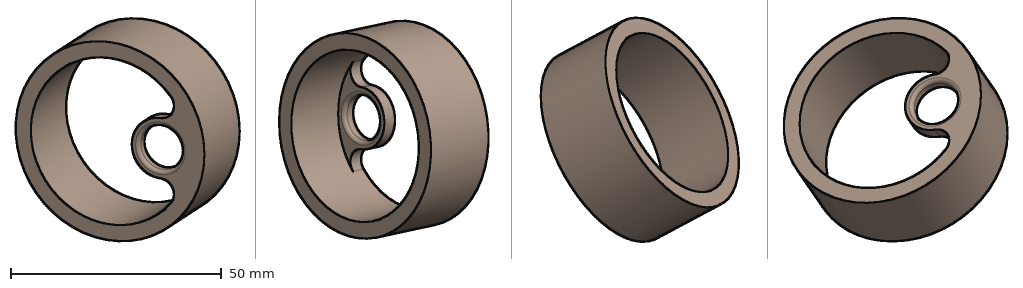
import cadquery as cq
import math

outer_diameter = 49.3
inner_diameter = 41.3
ring_length = 20.0

web_thickness = 3.75
eyelet_offset = 13.15
eyelet_radius = 7.5
bore_diameter = 11.0
bore_edge_radius = 1.0

inner_radius = inner_diameter / 2
wall_middle_radius = (outer_diameter / 2 + inner_radius) / 2

relief_radius = (inner_radius**2 - eyelet_offset**2 - eyelet_radius**2) / (
    2 * (inner_radius + eyelet_radius)
)
relief_height = eyelet_radius + relief_radius
relief_angle = math.atan2(relief_height, eyelet_offset)


def polar(radius, angle):
    """Point at a given radius and angle from the ring axis."""
    return radius * math.cos(angle), radius * math.sin(angle)


def front_plane():
    """Sketch plane on the front end, with its normal pointing toward -Y."""
    return cq.Workplane("XZ", origin=(0, -ring_length / 2, 0))


def make_ring():
    return (
        front_plane()
        .circle(outer_diameter / 2)
        .circle(inner_radius)
        .extrude(-ring_length)
    )


def make_web():
    middle_angle = (relief_angle - math.pi / 2) / 2
    middle_x, middle_z = polar(relief_radius, middle_angle)
    relief_x = eyelet_offset + middle_x
    relief_z = relief_height + middle_z

    return (
        front_plane()
        .moveTo(*polar(inner_radius, relief_angle))
        .threePointArc((relief_x, relief_z), (eyelet_offset, eyelet_radius))
        .threePointArc((eyelet_offset - eyelet_radius, 0), (eyelet_offset, -eyelet_radius))
        .threePointArc((relief_x, -relief_z), polar(inner_radius, -relief_angle))
        .lineTo(*polar(wall_middle_radius, -relief_angle))
        .threePointArc((wall_middle_radius, 0), polar(wall_middle_radius, relief_angle))
        .close()
        .extrude(-web_thickness)
    )


def make_bore_cutter():
    """Cutter for the bore, flared at both ends by quarter-round edges."""
    bore_radius = bore_diameter / 2
    mouth_radius = bore_radius + bore_edge_radius
    arc_offset = bore_edge_radius * math.sqrt(0.5)
    profile = (
        cq.Workplane("XY", origin=(eyelet_offset, -ring_length / 2, 0))
        .lineTo(mouth_radius, 0)
        .threePointArc(
            (mouth_radius - arc_offset, bore_edge_radius - arc_offset),
            (bore_radius, bore_edge_radius),
        )
        .lineTo(bore_radius, web_thickness - bore_edge_radius)
        .threePointArc(
            (mouth_radius - arc_offset, web_thickness - bore_edge_radius + arc_offset),
            (mouth_radius, web_thickness),
        )
        .lineTo(0, web_thickness)
        .close()
    )
    return profile.revolve(360, (0, 0, 0), (0, 1, 0))


result = make_ring().union(make_web()).cut(make_bore_cutter())